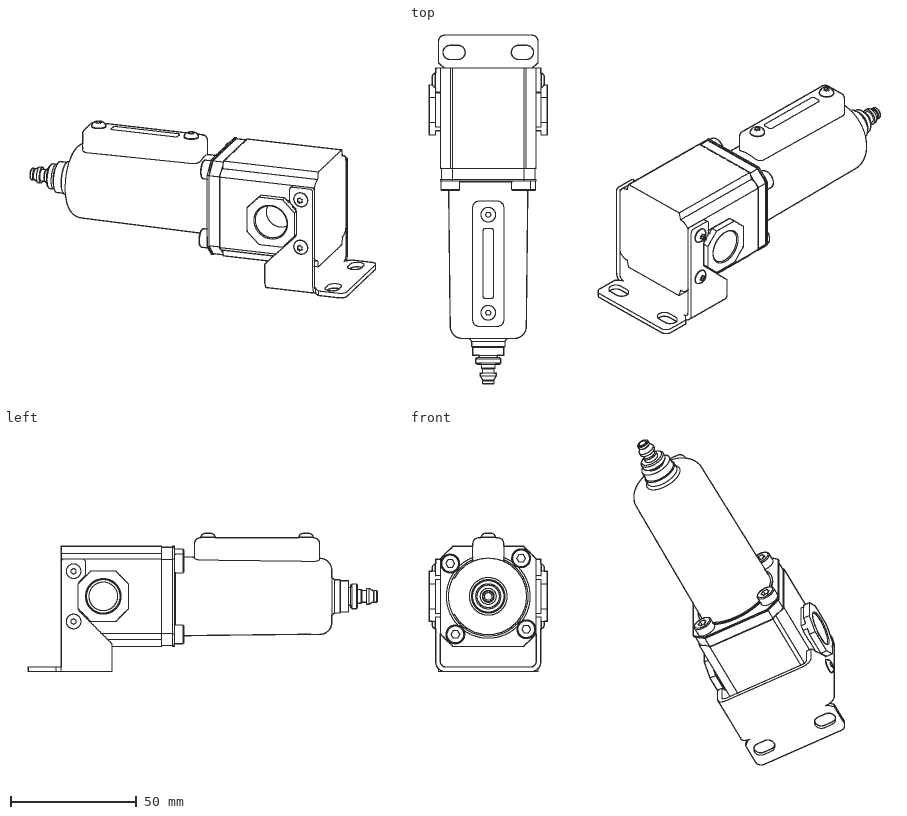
import cadquery as cq
import math


HALF_WIDTH = 19.0
HALF_HEIGHT = 20.0
TOP_HALF_FLAT = 14.1
STEP_WIDTH = 0.8
SIDE_HALF_FLAT = 14.8
HOUSING_STEP_HEIGHT = 2.9
HOUSING_SHOULDER = (17.3, 16.3)
FLANGE_CORNER_RADIUS = 24.1
HOUSING_LENGTH = 39.9
FLANGE_FRONT = 45.0
FLANGE_LIP = 0.7
FLANGE_INSET = 0.4

PORT_SPAN = 47.0
PORT_REACH = PORT_SPAN / 2
PORT_Y = -16.8
PORT_FLATS = 20.0
PORT_CORNER = 5.0
PORT_NECK_FLATS = 16.5
PORT_BORE_RADIUS = 6.6
PORT_FLOOR_RADIUS = 5.7
PORT_MOUTH_RADIUS = 7.0
PORT_BORE_DEPTH = 11.1
DRILL_HALF_ANGLE = 59

SHEET = 2.0
ARM_OUTER = HALF_WIDTH + SHEET
BRACKET_BOTTOM = -29.9
BEND_RADIUS = 4.0
ARM_TOP = 14.8
ARM_TAB_DEPTH = 9.7
ARM_WAIST_DEPTH = 7.2
ARM_FOOT_DEPTH = 20.2
ARM_DIAGONAL_Z = 8.3
ARM_FILLET = 1.2
FOOT_REACH = 13.0
FOOT_HALF_WIDTH = 19.8
FOOT_ROOT_HALF_WIDTH = 17.6
FOOT_TAPER = 2.0
FOOT_CORNER = 2.6
SLOT_X = 13.5
SLOT_Y = 6.1
SLOT_LENGTH = 8.7
SLOT_WIDTH = 5.5
ARM_SCREW_Y = -5.0
ARM_SCREW_Z = 10.0
ARM_SCREW_HEIGHT = 1.4

BUTTON_RADIUS = 2.9
BUTTON_EDGE = 0.3
BUTTON_SHOULDER_RADIUS = 2.4
BUTTON_SHOULDER_SHARE = 0.7
BUTTON_RIM_RADIUS = 1.2
BUTTON_HEX = 2.2
BUTTON_SOCKET_DEPTH = 0.8

COLLAR_RADIUS = 16.6
COLLAR_HEIGHT = 0.4
BOWL_TOP_RADIUS = 15.8
BOWL_END_RADIUS = 15.1
BOWL_ROUND_START = 102.6
BOWL_ROUND = 4.8
BOWL_END = BOWL_ROUND_START + BOWL_ROUND

COVER_WIDTH = 12.3
COVER_REAR = 52.9
COVER_LENGTH = 49.7
COVER_TOP = 23.3
COVER_ROUND = 2.5
COVER_TOP_ROUND = 2.4
COVER_BASE = 11.1
COVER_SCREW_INSET = 5.4
COVER_SCREW_HEIGHT = 1.8
WINDOW_WIDTH = 4.0
WINDOW_REAR = 63.7
WINDOW_LENGTH = 27.8
WINDOW_ROUND = 0.8

BOLT_COUNT = 4
BOLT_CIRCLE = 20.0
BOLT_ANGLE = 49.2
BOLT_RADIUS = 3.7
BOLT_HEIGHT = 3.7
BOLT_CHAMFER = 0.4
BOLT_HEX = 3.5
BOLT_SOCKET_DEPTH = 1.7

DRAIN_END = 125.5
DRAIN_SEAT_RADIUS = 7.5
DRAIN_COLLAR_RADIUS = 6.6
DRAIN_COLLAR_START = 108.5
DRAIN_COLLAR_END = 110.6
DRAIN_CAP_RADIUS = 6.2
DRAIN_CAP_START = 110.9
DRAIN_CAP_END = 114.1
DRAIN_NECK_RADIUS = 3.6
KNOB_RADIUS = 5.0
KNOB_START = 114.9
KNOB_END = 117.7
KNOB_CHAMFER = 0.5
STEM_SHOULDER_RADIUS = 2.8
STEM_SHOULDER_END = 119.0
STEM_RADIUS = 2.4
STEM_START = 119.5
BARB_RADIUS = 3.2
BARB_START = 121.1
BARB_EDGE = 122.3
BARB_END = 123.6
TIP_GROOVE_DEPTH = 0.3
TIP_CHAMFER = 0.3
TIP_START = 124.2
DRAIN_BORE_RADIUS = 1.5
DRAIN_BORE_DEPTH = 2.8


def along_y(start):
    """XZ workplane at Y = -start; extruding it goes toward -Y."""
    return cq.Workplane("XZ", origin=(0, -start, 0))


def revolve_about_y(points):
    """Closed (radius, distance toward -Y) outline turned about the filter axis."""
    outline = cq.Workplane("XY").polyline([(radius, -y) for radius, y in points]).close()
    return outline.revolve(360, (0, 0, 0), (0, 1, 0))


def block_outline(plane, half_width, half_height, step_foot, shoulder, side_z):
    """Rectangular outline with a step beside each flat and rounded shoulders at the corners."""
    step_x, step_z = step_foot
    shoulder_x, shoulder_z = shoulder
    flat = TOP_HALF_FLAT
    return (
        plane.moveTo(-flat, half_height)
        .lineTo(flat, half_height)
        .lineTo(step_x, step_z)
        .threePointArc((shoulder_x, shoulder_z), (half_width, side_z))
        .lineTo(half_width, -side_z)
        .threePointArc((shoulder_x, -shoulder_z), (step_x, -step_z))
        .lineTo(flat, -half_height)
        .lineTo(-flat, -half_height)
        .lineTo(-step_x, -step_z)
        .threePointArc((-shoulder_x, -shoulder_z), (-half_width, -side_z))
        .lineTo(-half_width, side_z)
        .threePointArc((-shoulder_x, shoulder_z), (-step_x, step_z))
        .close()
    )


def housing_outline(plane):
    step_foot = (TOP_HALF_FLAT + STEP_WIDTH, HALF_HEIGHT - HOUSING_STEP_HEIGHT)
    return block_outline(plane, HALF_WIDTH, HALF_HEIGHT, step_foot, HOUSING_SHOULDER, SIDE_HALF_FLAT)


def flange_outline(plane, inset=0.0):
    """Flange outline whose shoulders follow a circle about the filter axis."""
    width = HALF_WIDTH - inset
    height = HALF_HEIGHT - inset
    radius = FLANGE_CORNER_RADIUS - inset
    step_x = TOP_HALF_FLAT + STEP_WIDTH
    step_z = math.sqrt(radius**2 - step_x**2)
    side_z = math.sqrt(radius**2 - width**2)
    diagonal = radius / math.sqrt(2)
    return block_outline(plane, width, height, (step_x, step_z), (diagonal, diagonal), side_z)


def button_head(height):
    """Domed screw head standing on Z = 0, with a hexagon socket."""
    shoulder = (BUTTON_SHOULDER_RADIUS, BUTTON_SHOULDER_SHARE * height)
    head = (
        cq.Workplane("XZ")
        .lineTo(BUTTON_RADIUS, 0)
        .lineTo(BUTTON_RADIUS, BUTTON_EDGE)
        .threePointArc(shoulder, (BUTTON_RIM_RADIUS, height))
        .lineTo(0, height)
        .close()
        .revolve(360, (0, 0, 0), (0, 1, 0))
    )
    return head.faces(">Z").workplane().polygon(6, BUTTON_HEX).cutBlind(-BUTTON_SOCKET_DEPTH)



def make_port():
    """Octagonal plate over the bracket arm, on a smaller neck, on the +X side."""
    plate = (
        cq.Workplane("YZ", origin=(HALF_WIDTH, PORT_Y, 0))
        .rect(PORT_FLATS, PORT_FLATS)
        .extrude(PORT_REACH - HALF_WIDTH)
        .edges("|X")
        .chamfer(PORT_CORNER)
    )
    around_neck = (
        cq.Workplane("YZ", origin=(HALF_WIDTH, PORT_Y, 0))
        .rect(PORT_FLATS, PORT_FLATS)
        .rect(PORT_NECK_FLATS, PORT_NECK_FLATS)
        .extrude(SHEET)
    )
    return plate.cut(around_neck)


def make_port_bore():
    """Tapered blind bore with a chamfered mouth and a drilled cone at its bottom."""
    mouth_floor = PORT_REACH - (PORT_MOUTH_RADIUS - PORT_BORE_RADIUS)
    bore_floor = PORT_REACH - PORT_BORE_DEPTH
    tip = bore_floor - PORT_FLOOR_RADIUS / math.tan(math.radians(DRILL_HALF_ANGLE))
    return (
        cq.Workplane("XY", origin=(0, PORT_Y, 0))
        .polyline([
            (tip, 0),
            (bore_floor, PORT_FLOOR_RADIUS),
            (mouth_floor, PORT_BORE_RADIUS),
            (PORT_REACH, PORT_MOUTH_RADIUS),
            (PORT_REACH, 0),
        ])
        .close()
        .revolve(360, (0, 0, 0), (1, 0, 0))
    )


def make_housing():
    port = make_port()
    bore = make_port_bore()
    housing = housing_outline(along_y(0)).extrude(HOUSING_LENGTH)
    housing = housing.union(port).union(port.mirror("YZ"))
    return housing.cut(bore).cut(bore.mirror("YZ"))



def make_bracket():
    """U-shaped sheet with two side arms, a slotted rear foot and four screw heads."""
    waist_z = ARM_DIAGONAL_Z - (ARM_TAB_DEPTH - ARM_WAIST_DEPTH)
    foot_z = -waist_z - (ARM_FOOT_DEPTH - ARM_WAIST_DEPTH)
    u_height = ARM_TOP - BRACKET_BOTTOM
    u_centre = (ARM_TOP + BRACKET_BOTTOM) / 2

    channel = (
        along_y(0)
        .center(0, u_centre)
        .rect(2 * ARM_OUTER, u_height)
        .extrude(ARM_FOOT_DEPTH)
        .edges("|Y and <Z")
        .fillet(BEND_RADIUS)
    )
    inside = (
        along_y(0)
        .center(0, u_centre + SHEET)
        .rect(2 * HALF_WIDTH, u_height)
        .extrude(ARM_FOOT_DEPTH)
        .edges("|Y and <Z")
        .fillet(BEND_RADIUS - SHEET)
    )
    arm_profile = (
        cq.Workplane("YZ", origin=(-ARM_OUTER, 0, 0))
        .polyline([
            (0, ARM_TOP),
            (-ARM_TAB_DEPTH, ARM_TOP),
            (-ARM_TAB_DEPTH, ARM_DIAGONAL_Z),
            (-ARM_WAIST_DEPTH, waist_z),
            (-ARM_WAIST_DEPTH, -waist_z),
            (-ARM_FOOT_DEPTH, foot_z),
            (-ARM_FOOT_DEPTH, BRACKET_BOTTOM),
            (0, BRACKET_BOTTOM),
        ])
        .close()
        .extrude(2 * ARM_OUTER)
        .edges("|X and >Z")
        .fillet(ARM_FILLET)
        .edges(cq.NearestToPointSelector((0, -ARM_FOOT_DEPTH, foot_z)))
        .fillet(ARM_FILLET)
    )
    foot = (
        cq.Workplane("XY", origin=(0, 0, BRACKET_BOTTOM))
        .polyline([
            (-FOOT_ROOT_HALF_WIDTH, 0),
            (-FOOT_HALF_WIDTH, FOOT_TAPER),
            (-FOOT_HALF_WIDTH, FOOT_REACH),
            (FOOT_HALF_WIDTH, FOOT_REACH),
            (FOOT_HALF_WIDTH, FOOT_TAPER),
            (FOOT_ROOT_HALF_WIDTH, 0),
        ])
        .close()
        .extrude(SHEET)
        .edges("|Z and >Y")
        .fillet(FOOT_CORNER)
    )
    slots = (
        cq.Workplane("XY", origin=(0, 0, BRACKET_BOTTOM))
        .pushPoints([(-SLOT_X, SLOT_Y), (SLOT_X, SLOT_Y)])
        .slot2D(SLOT_LENGTH, SLOT_WIDTH)
        .extrude(SHEET)
    )
    bracket = channel.cut(inside).intersect(arm_profile).union(foot).cut(slots)

    head = button_head(ARM_SCREW_HEIGHT).rotate((0, 0, 0), (0, 1, 0), 90)
    for z in (-ARM_SCREW_Z, ARM_SCREW_Z):
        placed = head.translate((ARM_OUTER, ARM_SCREW_Y, z))
        bracket = bracket.union(placed).union(placed.mirror("YZ"))
    return bracket



def make_flange():
    """Square flange with a slightly recessed band behind its front lip."""
    band_length = FLANGE_FRONT - FLANGE_LIP - HOUSING_LENGTH
    band = flange_outline(along_y(HOUSING_LENGTH), FLANGE_INSET).extrude(band_length)
    lip = flange_outline(along_y(FLANGE_FRONT - FLANGE_LIP)).extrude(FLANGE_LIP)
    return band.union(lip)


def make_bowl():
    """Tapered bowl with a rounded end and a thin collar at the flange."""
    taper = revolve_about_y([
        (0, FLANGE_FRONT),
        (COLLAR_RADIUS, FLANGE_FRONT),
        (COLLAR_RADIUS, FLANGE_FRONT + COLLAR_HEIGHT),
        (BOWL_TOP_RADIUS, FLANGE_FRONT + COLLAR_HEIGHT),
        (BOWL_END_RADIUS, BOWL_END),
        (0, BOWL_END),
    ])
    return taper.faces("<Y").edges().fillet(BOWL_ROUND)


def make_case(bolts):
    case = make_flange().union(make_bowl())
    for bolt in bolts:
        case = case.cut(bolt)
    return case



def make_sight_cover(case):
    """Rounded cover with a window, two screw heads, trimmed to the bowl surface."""
    cover = (
        cq.Workplane("XY", origin=(0, -COVER_REAR - COVER_LENGTH / 2, COVER_BASE))
        .rect(COVER_WIDTH, COVER_LENGTH)
        .extrude(COVER_TOP - COVER_BASE)
        .edges("|Z")
        .fillet(COVER_ROUND)
        .faces(">Z")
        .edges()
        .fillet(COVER_TOP_ROUND)
    )
    window = (
        cq.Workplane("XY", origin=(0, -WINDOW_REAR - WINDOW_LENGTH / 2, COVER_BASE))
        .rect(WINDOW_WIDTH, WINDOW_LENGTH)
        .extrude(COVER_TOP - COVER_BASE)
        .edges("|Z")
        .fillet(WINDOW_ROUND)
    )
    cover = cover.cut(window).cut(case)
    head = button_head(COVER_SCREW_HEIGHT)
    for y in (COVER_REAR + COVER_SCREW_INSET, COVER_REAR + COVER_LENGTH - COVER_SCREW_INSET):
        cover = cover.union(head.translate((0, -y, COVER_TOP)))
    return cover



def make_bolt(angle):
    """Socket bolt head standing on the flange at an angle on the bolt circle."""
    x = BOLT_CIRCLE * math.cos(math.radians(angle))
    z = BOLT_CIRCLE * math.sin(math.radians(angle))
    return (
        along_y(FLANGE_FRONT)
        .center(x, z)
        .circle(BOLT_RADIUS)
        .extrude(BOLT_HEIGHT)
        .faces("<Y")
        .chamfer(BOLT_CHAMFER)
        .faces("<Y")
        .workplane(centerOption="CenterOfMass")
        .polygon(6, BOLT_HEX)
        .cutBlind(-BOLT_SOCKET_DEPTH)
    )



def make_drain_valve():
    """Stepped valve with a knob ring, a hose barb and a blind bore in its end."""
    knob_face_radius = KNOB_RADIUS - KNOB_CHAMFER
    tip_face_radius = STEM_RADIUS - TIP_CHAMFER
    groove_radius = STEM_RADIUS - TIP_GROOVE_DEPTH
    groove_middle = (BARB_END + TIP_START) / 2
    valve = revolve_about_y([
        (0, BOWL_END),
        (DRAIN_SEAT_RADIUS, BOWL_END),
        (DRAIN_COLLAR_RADIUS, DRAIN_COLLAR_START),
        (DRAIN_COLLAR_RADIUS, DRAIN_COLLAR_END),
        (DRAIN_CAP_RADIUS, DRAIN_CAP_START),
        (DRAIN_CAP_RADIUS, DRAIN_CAP_END),
        (DRAIN_NECK_RADIUS, DRAIN_CAP_END),
        (DRAIN_NECK_RADIUS, KNOB_START),
        (knob_face_radius, KNOB_START),
        (KNOB_RADIUS, KNOB_START + KNOB_CHAMFER),
        (KNOB_RADIUS, KNOB_END - KNOB_CHAMFER),
        (knob_face_radius, KNOB_END),
        (STEM_SHOULDER_RADIUS, KNOB_END),
        (STEM_SHOULDER_RADIUS, STEM_SHOULDER_END),
        (STEM_RADIUS, STEM_START),
        (STEM_RADIUS, BARB_START),
        (BARB_RADIUS, BARB_START),
        (BARB_RADIUS, BARB_EDGE),
        (STEM_RADIUS, BARB_END),
        (groove_radius, groove_middle),
        (STEM_RADIUS, TIP_START),
        (STEM_RADIUS, DRAIN_END - TIP_CHAMFER),
        (tip_face_radius, DRAIN_END),
        (0, DRAIN_END),
    ])
    bore = along_y(DRAIN_END - DRAIN_BORE_DEPTH).circle(DRAIN_BORE_RADIUS).extrude(DRAIN_BORE_DEPTH)
    return valve.cut(bore)


housing = make_housing()
bracket = make_bracket()
bolts = [make_bolt(BOLT_ANGLE + 360 / BOLT_COUNT * turn) for turn in range(BOLT_COUNT)]
case = make_case(bolts)
sight_cover = make_sight_cover(case)
drain_valve = make_drain_valve()

result = cq.Compound.makeCompound([
    housing.val(),
    bracket.val(),
    case.val(),
    sight_cover.val(),
    drain_valve.val(),
    *[bolt.val() for bolt in bolts],
])